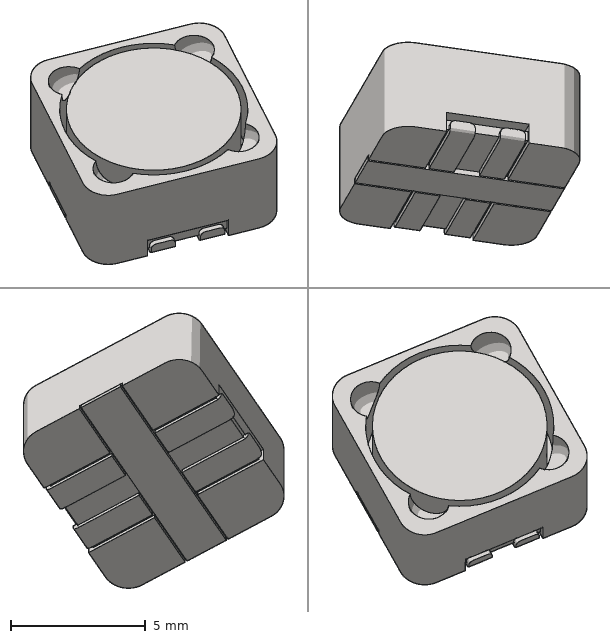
import cadquery as cq

side = 7.6
height = 3.6
corner_radius = 1.0
bore_radius = 3.495
floor_thickness = 0.15
scallop_radius = 0.76
scallop_offset = 2.47

channel_width = 3.19
channel_height = 0.805

rail_height = 0.205
rail_width = 1.7
rail_clearance = 0.08

plate_top = 0.59
plate_setback = 0.2

core_radius = 3.245

terminal_width = 0.965
terminal_offset = 0.97
terminal_height = 0.51
terminal_corner_radius = 0.21
bend_radius = rail_height

pocket_floor = channel_height + floor_thickness


def block(length, width, bottom, top):
    """Box centred on the Z axis between two heights."""
    return cq.Workplane("XY").workplane(offset=bottom).rect(length, width).extrude(top - bottom)


def make_housing():
    body = block(side, side, 0, height).edges("|Z").fillet(corner_radius)
    pocket = cq.Workplane("XY").workplane(offset=pocket_floor).circle(bore_radius).extrude(height)
    channel = block(side, channel_width, 0, channel_height)
    rail_slot = block(rail_width + 2 * rail_clearance, side, 0, rail_height)
    body = body.cut(pocket).cut(channel).cut(rail_slot)
    for x_sign in (-1, 1):
        for y_sign in (-1, 1):
            center = (x_sign * scallop_offset, y_sign * scallop_offset, height)
            body = body.cut(cq.Workplane("XY").sphere(scallop_radius).translate(center))
    return body


def make_core():
    return cq.Workplane("XY").workplane(offset=pocket_floor).circle(core_radius).extrude(height - pocket_floor)


def make_base():
    plate = block(side - 2 * plate_setback, channel_width, rail_height, plate_top)
    rail = block(rail_width, side, 0, rail_height)
    return plate.union(rail)


def make_terminal(x_sign, y_sign):
    """L-shaped clip: a leg under the plate and a rounded tab up its end."""
    face_x = side / 2
    plate_end_x = side / 2 - plate_setback
    leg_end_x = rail_width / 2 + rail_clearance
    bottom_y = terminal_offset - terminal_width / 2
    profile = (
        cq.Workplane("XZ", origin=(0, bottom_y, 0))
        .moveTo(leg_end_x, 0)
        .lineTo(face_x - bend_radius, 0)
        .radiusArc((face_x, bend_radius), -bend_radius)
        .lineTo(face_x, terminal_height)
        .lineTo(plate_end_x, terminal_height)
        .lineTo(plate_end_x, rail_height)
        .lineTo(leg_end_x, rail_height)
        .close()
    )
    clip = profile.extrude(-terminal_width)
    clip = clip.faces(">Z").edges("|X").fillet(terminal_corner_radius)
    if x_sign < 0:
        clip = clip.mirror("YZ")
    if y_sign < 0:
        clip = clip.mirror("XZ")
    return clip


housing = make_housing()
core = make_core()
base = make_base()
terminals = [make_terminal(x_sign, y_sign) for x_sign in (-1, 1) for y_sign in (-1, 1)]

result = cq.Compound.makeCompound(
    [housing.val(), core.val(), base.val(), *[terminal.val() for terminal in terminals]]
)